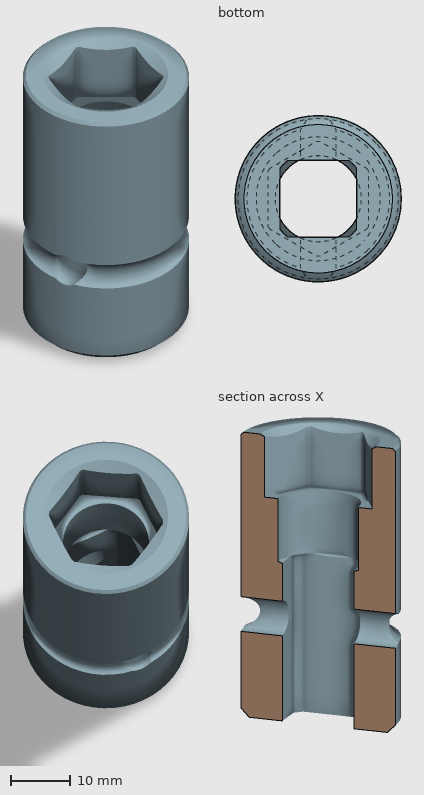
import cadquery as cq
import math

height = 50.0
body_radius = 14.0
bottom_chamfer = 1.5
top_chamfer = 0.5

groove_height = 18.0
groove_arc_radius = 2.5
groove_depth = 2.0
pin_radius = 3.0

hex_across_flats = 17.0
hex_corner_radius = 9.65
hex_floor = 39.0
lead_in_radius = 10.45
lead_in_angle = 30.0

bore_radius = 7.25
square_side = 12.9
square_corner_radius = 8.25
square_top = 28.0
bore_cone_angle = 20.0


def cylinder(radius, bottom, top):
    """Cylinder about the Z axis between two heights."""
    return cq.Workplane("XY").workplane(offset=bottom).circle(radius).extrude(top - bottom)


def make_body():
    """Round body with chamfered ends."""
    body = cylinder(body_radius, 0, height)
    body = body.faces("<Z").chamfer(bottom_chamfer)
    return body.faces(">Z").chamfer(top_chamfer)


def make_groove():
    """Ring whose round section bites into the outer wall."""
    centre_radius = body_radius - groove_depth + groove_arc_radius
    return (
        cq.Workplane("XZ")
        .center(centre_radius, groove_height)
        .circle(groove_arc_radius)
        .revolve(360, (-centre_radius, 0), (-centre_radius, 1))
    )


def make_pin_hole():
    """Cross hole along Y, right through both walls."""
    return (
        cq.Workplane("XZ")
        .center(0, groove_height)
        .circle(pin_radius)
        .extrude(body_radius, both=True)
    )


def make_hex_socket():
    """Hexagonal pocket with blunted corners and its flats facing X."""
    across_corners = hex_across_flats / math.cos(math.pi / 6)
    hexagon = (
        cq.Workplane("XY")
        .workplane(offset=hex_floor)
        .transformed(rotate=(0, 0, 30))
        .polygon(6, across_corners)
        .extrude(height - hex_floor)
    )
    return hexagon.intersect(cylinder(hex_corner_radius, hex_floor, height))


def make_cone(radius, top, slope):
    """Cone pointing down, with the given rim radius, rim height and slope in degrees."""
    depth = radius * math.tan(math.radians(slope))
    return (
        cq.Workplane("XZ")
        .moveTo(0, top)
        .lineTo(radius, top)
        .lineTo(0, top - depth)
        .close()
        .revolve(360, (0, 0), (0, 1))
    )


def make_square_drive():
    """Square pocket with blunted corners, open at the bottom."""
    square = cq.Workplane("XY").rect(square_side, square_side).extrude(square_top)
    return square.intersect(cylinder(square_corner_radius, 0, square_top))


result = (
    make_body()
    .cut(make_groove())
    .cut(make_pin_hole())
    .cut(make_hex_socket())
    .cut(make_cone(lead_in_radius, height, lead_in_angle))
    .cut(cylinder(bore_radius, square_top, hex_floor))
    .cut(make_cone(bore_radius, square_top, bore_cone_angle))
    .cut(make_square_drive())
)